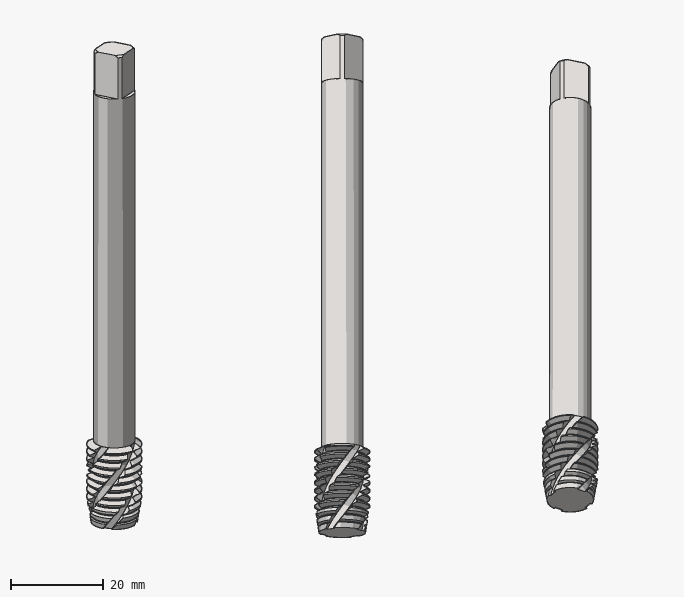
import cadquery as cq
import math


overall_length = 110.0
head_length = 18.8

shank_diameter = 9.0
square_width = 7.0
square_length = 10.0
square_end_chamfer = 0.4

thread_diameter = 12.0
root_diameter = 9.8
pitch_count = 10
thread_span = 17.5
first_crest_height = 0.5
crest_flat = 0.3
flank_angle = 30.0

tip_diameter = 10.1
taper_length = 5.5
back_chamfer_angle = 27.0

flute_count = 4
flute_lead = 39.6
flute_floor_radius = 4.5
flute_floor_width = 1.8
flute_mouth_width = 3.7
flute_start_angle = -88.0

shank_radius = shank_diameter / 2
thread_radius = thread_diameter / 2
root_radius = root_diameter / 2
tip_radius = tip_diameter / 2
pitch = thread_span / pitch_count
clearance = 1.1


def revolve_profile(points):
    """Turn an outline of (radius, height) points about the Z axis."""
    return cq.Workplane("XZ").polyline(points).close().revolve(360, (0, 0, 0), (0, 1, 0))


def build_shank():
    """Round shank whose upper end is milled to a square with rounded corners."""
    shank_length = overall_length - head_length
    bar = cq.Workplane("XY").workplane(offset=head_length).circle(shank_radius).extrude(shank_length)
    bar = bar.faces(">Z").chamfer(square_end_chamfer)
    square_base = overall_length - square_length
    waste = (
        cq.Workplane("XY")
        .workplane(offset=square_base)
        .rect(2 * shank_diameter, 2 * shank_diameter)
        .rect(square_width, square_width)
        .extrude(square_length + clearance)
    )
    return bar.cut(waste)


def build_envelope():
    """Blank of the head: tapered tip, full diameter, and back chamfer."""
    chamfer_drop = (thread_radius - shank_radius) * math.tan(math.radians(back_chamfer_angle))
    return revolve_profile([
        (0, 0),
        (tip_radius, 0),
        (thread_radius, taper_length),
        (thread_radius, head_length - chamfer_drop),
        (shank_radius, head_length),
        (0, head_length),
    ])


def build_threaded_blank():
    """Core with evenly spaced thread rings, trimmed to the head envelope."""
    half_crest = crest_flat / 2
    half_base = half_crest + (thread_radius - root_radius) * math.tan(math.radians(flank_angle))
    points = [(0, -pitch), (root_radius, -pitch)]
    for ring in range(pitch_count + 1):
        height = first_crest_height + ring * pitch
        points += [
            (root_radius, height - half_base),
            (thread_radius, height - half_crest),
            (thread_radius, height + half_crest),
            (root_radius, height + half_base),
        ]
    points += [(root_radius, head_length + pitch), (0, head_length + pitch)]
    return revolve_profile(points).intersect(build_envelope())


def build_flute_cutter(angle):
    """Right-handed twisted bar that cuts one flute along the whole head."""
    outer = thread_radius + clearance
    turn = 360.0 * head_length / flute_lead
    return (
        cq.Workplane("XY")
        .polyline([
            (flute_floor_radius, -flute_floor_width / 2),
            (outer, -flute_mouth_width / 2),
            (outer, flute_mouth_width / 2),
            (flute_floor_radius, flute_floor_width / 2),
        ])
        .close()
        .twistExtrude(head_length, turn)
        .rotate((0, 0, 0), (0, 0, 1), angle - turn)
    )


def build_head():
    """Threaded cutting head with spiral flutes."""
    head = build_threaded_blank()
    for flute in range(flute_count):
        head = head.cut(build_flute_cutter(flute_start_angle + flute * 360.0 / flute_count))
    return head


shank = build_shank()
head = build_head()

result = cq.Compound.makeCompound([shank.val(), *head.vals()])